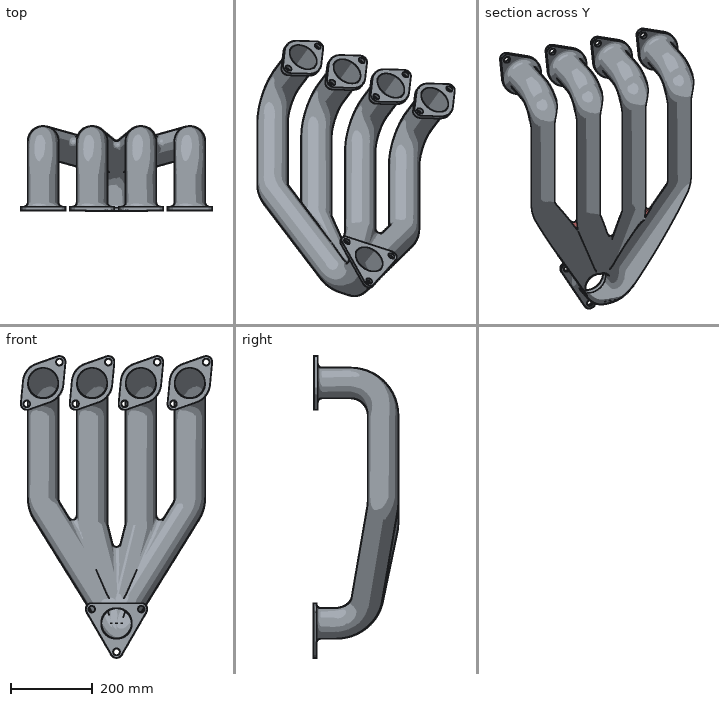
import cadquery as cq
import math


PIPE_OD = 76.0
PIPE_ID = 74.0
PORT_PITCH = 120.0
INNER_PORT_X = PORT_PITCH / 2
OUTER_PORT_X = PORT_PITCH * 3 / 2
PORT_HEIGHT = 590.0
RUNNER_REACH = 170.0
MERGE_DEPTH = 120.0
ELBOW_RADIUS = 80.0
INNER_KNEE_HEIGHT = 240.0
OUTER_KNEE_HEIGHT = 290.0
KNEE_RADIUS = 60.0

FLANGE_EAR_RADIUS = 15.0
BOLT_HOLE_DIAMETER = 16.0
HEAD_FACE_Y = 0.0
HEAD_FLANGE_THICKNESS = 10.0
HEAD_FLANGE_BODY_RADIUS = 50.0
HEAD_BOLT_RADIUS = 65.0
HEAD_BOLT_ANGLE = math.radians(52)
COLLECTOR_FACE_Y = -1.0
COLLECTOR_FLANGE_THICKNESS = 8.0
COLLECTOR_BOLT_RADIUS = 70.0
COLLECTOR_BOLT_ANGLES = [math.radians(angle) for angle in (30, 150, 270)]

WELD_RADIUS = 10.0

BLOCK = 1000.0
TOLERANCE = 0.001


def polar(center, radius, angle):
    return (center[0] + radius * math.cos(angle), center[1] + radius * math.sin(angle))


def face_plane(x, y, z):
    """Workplane on a flange face, with local X along +X and local Y along +Z."""
    return cq.Workplane("XZ", origin=(x, y, z))


def rounded_path(corners, radii):
    """Straight runs through the corners, joined at each inner corner by a tangent arc."""
    edges = []
    start = corners[0]
    for before, corner, after, radius in zip(corners, corners[1:], corners[2:], radii):
        back = (before - corner).normalized()
        ahead = (after - corner).normalized()
        half_angle = back.getAngle(ahead) / 2
        setback = radius / math.tan(half_angle)
        arc_depth = radius / math.sin(half_angle) - radius
        arc_start = corner + back * setback
        arc_middle = corner + (back + ahead).normalized() * arc_depth
        arc_end = corner + ahead * setback
        edges.append(cq.Edge.makeLine(start, arc_start))
        edges.append(cq.Edge.makeThreePointArc(arc_start, arc_middle, arc_end))
        start = arc_end
    edges.append(cq.Edge.makeLine(start, corners[-1]))
    return cq.Wire.assembleEdges(edges)


def pipe(port_x, knee_height, diameter):
    """Solid rod along one pipe axis, from its head flange face to the collector face."""
    corners = [
        cq.Vector(port_x, HEAD_FACE_Y, PORT_HEIGHT),
        cq.Vector(port_x, RUNNER_REACH, PORT_HEIGHT),
        cq.Vector(port_x, RUNNER_REACH, knee_height),
        cq.Vector(0, MERGE_DEPTH, 0),
        cq.Vector(0, COLLECTOR_FACE_Y, 0),
    ]
    path = rounded_path(corners, [ELBOW_RADIUS, KNEE_RADIUS, ELBOW_RADIUS])
    profile_plane = cq.Plane((port_x, HEAD_FACE_Y, PORT_HEIGHT), xDir=(-1, 0, 0), normal=(0, -1, 0))
    profile = cq.Workplane(profile_plane).circle(diameter / 2)
    return profile.sweep(cq.Workplane(obj=path))


def left_pipes(diameter):
    """The outer and inner pipe of the -X side as one body, ended at the symmetry plane."""
    outer = pipe(-OUTER_PORT_X, OUTER_KNEE_HEIGHT, diameter)
    inner = pipe(-INNER_PORT_X, INNER_KNEE_HEIGHT, diameter)
    left_side = cq.Workplane("XY").box(BLOCK, BLOCK, 2 * BLOCK).translate((-BLOCK / 2, 0, 0))
    return outer.union(inner).intersect(left_side)


def mirrored_pair(body):
    return body.union(body.mirror("YZ"))


def fillet_where(body, wanted):
    """Round the edges of a body whose bounding boxes pass the test."""
    edges = [edge for edge in body.edges().vals() if wanted(edge, edge.BoundingBox())]
    return cq.Workplane(obj=body.val().fillet(WELD_RADIUS, edges))


def is_side_crotch(edge, box):
    """Crease between the sloping runs of an outer and an inner pipe."""
    spans_slope = box.zmin < INNER_KNEE_HEIGHT / 2 and box.zmax > INNER_KNEE_HEIGHT / 2
    return edge.geomType() == "ELLIPSE" and spans_slope and box.xmax < -TOLERANCE


def is_middle_crotch(edge, box):
    """Crease between the two inner pipes, on the symmetry plane."""
    on_symmetry_plane = max(abs(box.xmin), abs(box.xmax)) < TOLERANCE
    return on_symmetry_plane and box.zmax > INNER_KNEE_HEIGHT / 2


def welded_pipes():
    """All four hollow pipes as one body, with rounded crotches above the collector axis."""
    pipes = left_pipes(PIPE_OD)
    bores = left_pipes(PIPE_ID)
    below_axis = cq.Workplane("XY").box(BLOCK, BLOCK, BLOCK).translate((0, 0, -BLOCK / 2))
    upper = fillet_where(pipes.cut(below_axis), is_side_crotch)
    upper = fillet_where(mirrored_pair(upper.cut(bores)), is_middle_crotch)
    lower = mirrored_pair(pipes.intersect(below_axis).cut(bores))
    return upper.union(lower)


def head_flange(port_x):
    """Two-bolt flange: a round body with two opposite ears, joined by tangent lines."""
    face = face_plane(port_x, HEAD_FACE_Y, PORT_HEIGHT)
    center = (0, 0)
    ear = polar(center, HEAD_BOLT_RADIUS, HEAD_BOLT_ANGLE)
    far_angle = HEAD_BOLT_ANGLE + math.pi
    far_ear = polar(center, HEAD_BOLT_RADIUS, far_angle)
    spread = math.acos((HEAD_FLANGE_BODY_RADIUS - FLANGE_EAR_RADIUS) / HEAD_BOLT_RADIUS)
    outline = face.moveTo(*polar(ear, FLANGE_EAR_RADIUS, HEAD_BOLT_ANGLE - spread))
    for bolt, angle in ((ear, HEAD_BOLT_ANGLE), (far_ear, far_angle)):
        outline = (
            outline.threePointArc(
                polar(bolt, FLANGE_EAR_RADIUS, angle),
                polar(bolt, FLANGE_EAR_RADIUS, angle + spread),
            )
            .lineTo(*polar(center, HEAD_FLANGE_BODY_RADIUS, angle + spread))
            .threePointArc(
                polar(center, HEAD_FLANGE_BODY_RADIUS, angle + math.pi / 2),
                polar(center, HEAD_FLANGE_BODY_RADIUS, angle + math.pi - spread),
            )
        )
        if bolt == ear:
            outline = outline.lineTo(*polar(far_ear, FLANGE_EAR_RADIUS, far_angle - spread))
    plate = outline.close().extrude(-HEAD_FLANGE_THICKNESS)
    return drill_flange(plate, face, [ear, far_ear], HEAD_FLANGE_THICKNESS)


def collector_flange():
    """Three-bolt flange: a triangle with rounded corners around the bolts."""
    face = face_plane(0, COLLECTOR_FACE_Y, 0)
    bolts = [polar((0, 0), COLLECTOR_BOLT_RADIUS, angle) for angle in COLLECTOR_BOLT_ANGLES]
    triangle = face.polyline(bolts).close().offset2D(FLANGE_EAR_RADIUS)
    plate = triangle.extrude(-COLLECTOR_FLANGE_THICKNESS)
    return drill_flange(plate, face, bolts, COLLECTOR_FLANGE_THICKNESS)


def drill_flange(plate, face, bolts, thickness):
    """Cut the bolt holes and the pipe bore through a flange plate."""
    bolt_holes = face.pushPoints(bolts).circle(BOLT_HOLE_DIAMETER / 2).extrude(-thickness)
    bore = face.circle(PIPE_ID / 2).extrude(-thickness)
    return plate.cut(bolt_holes).cut(bore)


def is_flange_joint(edge, box):
    """Circle where a pipe leaves the back of its flange."""
    if edge.geomType() != "CIRCLE" or abs(edge.radius() - PIPE_OD / 2) > TOLERANCE:
        return False
    flange_backs = (
        HEAD_FACE_Y + HEAD_FLANGE_THICKNESS,
        COLLECTOR_FACE_Y + COLLECTOR_FLANGE_THICKNESS,
    )
    return any(max(abs(box.ymin - y), abs(box.ymax - y)) < TOLERANCE for y in flange_backs)


def manifold():
    body = welded_pipes()
    for port_x in (-OUTER_PORT_X, -INNER_PORT_X, INNER_PORT_X, OUTER_PORT_X):
        body = body.union(head_flange(port_x))
    body = body.union(collector_flange())
    return fillet_where(body, is_flange_joint)


result = manifold()